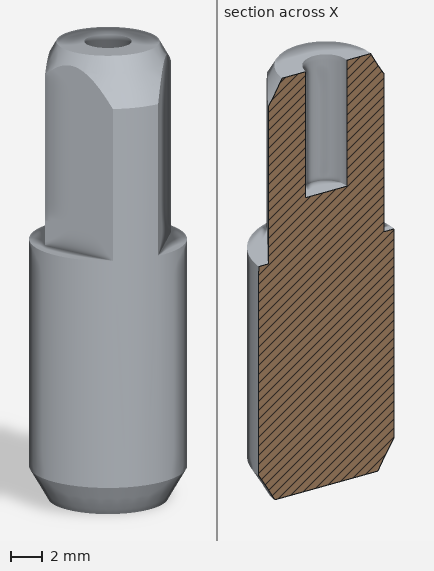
import cadquery as cq
import math

length = 30.0
body_diameter = 10.0
flats_start = 17.0
across_flats = 7.4
flat_tilt = 30.0
top_taper_height = 3.0
bottom_taper_height = 2.07
taper_angle = 30.0
hole_diameter = 3.0
hole_depth = 9.0

body_radius = body_diameter / 2
taper_slope = math.tan(math.radians(taper_angle))
top_radius = body_radius - top_taper_height * taper_slope
bottom_radius = body_radius - bottom_taper_height * taper_slope


def tapered_body():
    """Round pin with a conical taper at each end, revolved about Z."""
    return (
        cq.Workplane("XZ")
        .moveTo(0, 0)
        .lineTo(bottom_radius, 0)
        .lineTo(body_radius, bottom_taper_height)
        .lineTo(body_radius, length - top_taper_height)
        .lineTo(top_radius, length)
        .lineTo(0, length)
        .close()
        .revolve(360, (0, 0, 0), (0, 1, 0))
    )


def flats_cutter():
    """Material outside the two V-shaped pairs of flats that meet at +Y and -Y."""
    ridge_y = across_flats / 2 / math.cos(math.radians(flat_tilt))
    rhombus_x = ridge_y / math.tan(math.radians(flat_tilt))
    flats_profile = [(rhombus_x, 0), (0, ridge_y), (-rhombus_x, 0), (0, -ridge_y)]
    cutter_plane = cq.Workplane("XY").workplane(offset=flats_start)
    flats_height = length - flats_start
    blank = cutter_plane.circle(body_diameter).extrude(flats_height)
    return blank.cut(cutter_plane.polyline(flats_profile).close().extrude(flats_height))


hole = (
    cq.Workplane("XY")
    .workplane(offset=length - hole_depth)
    .circle(hole_diameter / 2)
    .extrude(hole_depth)
)

result = tapered_body().cut(flats_cutter()).cut(hole)